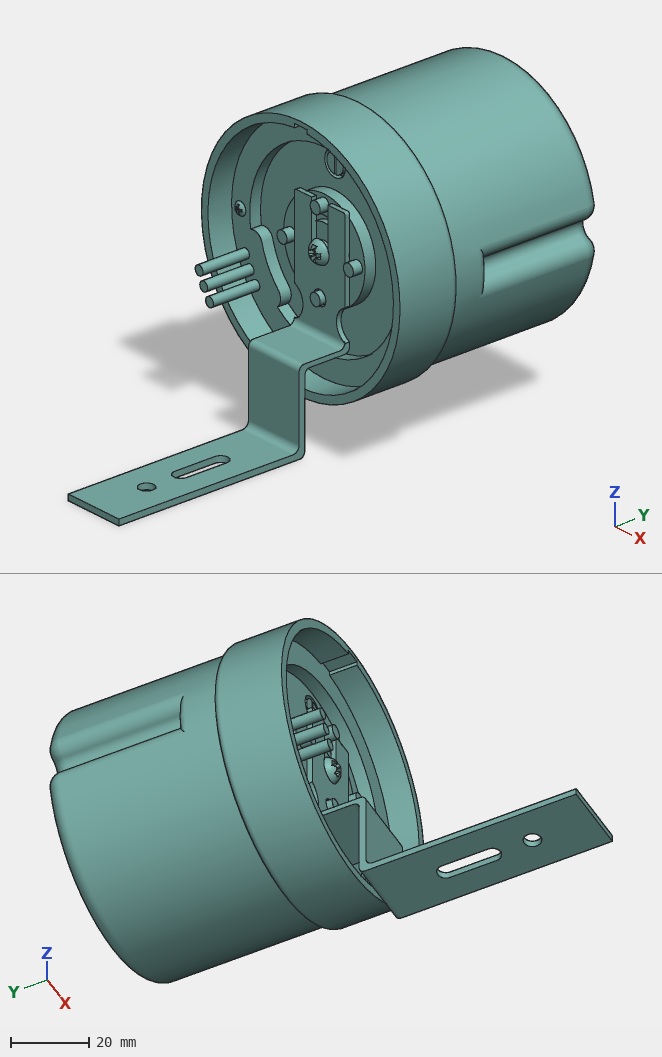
import cadquery as cq
import math

OVERALL_LENGTH = 140.0
OVERALL_HEIGHT = 89.5

HOUSING_LENGTH = 70.0
COLLAR_RADIUS = 78.0 / 2
COLLAR_LENGTH = 20.0
BODY_RADIUS = 74.0 / 2
BODY_END_FILLET = 3.9
COLLAR_FILLET = 2.0

GROOVE_CENTRE = 34.7
GROOVE_RADIUS = 2.8
GROOVE_LIP_RADIUS = 4.0
GROOVE_START = 29.1
GROOVE_END_RADIUS = 2.1

RIM_INNER_RADIUS = 36.4
LEDGE_DEPTH = 8.0
POCKET_RADIUS = 29.3
POCKET_DEPTH = 11.6
BOSS_RADIUS = 16.0
BOSS_GROOVE_OUTER = 10.0
BOSS_GROOVE_INNER = 7.8
BOSS_GROOVE_DEPTH = 2.0
KEYWAY_WIDTH = 4.8
KEYWAY_TOP = 37.5

WIRE_LAND_ANGLE = 209.8
WIRE_LAND_HALF_ANGLE = 21.2
WIRE_LAND_RADIUS = 25.3
WIRE_LAND_FILLET = 3.4
WIRE_CIRCLE_RADIUS = 33.2
WIRE_MIDDLE_ANGLE = 208.6
WIRE_STEP_ANGLE = 7.4
WIRE_RADIUS = 1.5
WIRE_LENGTH = 7.7

PIN_CIRCLE_RADIUS = 13.0
PIN_RADIUS = 2.0
PIN_TIP_DEPTH = 4.9

SLOTTED_SCREW_Z = 23.5
SLOTTED_SCREW_RADIUS = 3.2
SLOTTED_SCREW_WELL_RADIUS = 4.0
SLOTTED_SCREW_WELL_DEPTH = 2.0
SLOTTED_SCREW_SLOT_WIDTH = 0.5
SLOTTED_SCREW_SLOT_DEPTH = 1.0

LEDGE_SCREW_X = 32.9
LEDGE_SCREW_RADIUS = 2.1
LEDGE_SCREW_HEIGHT = 1.1
LEDGE_SCREW_CROSS = (3.6, 2.2, 0.7, 0.8, 0.7)
CLAMP_SCREW_RADIUS = 3.6
CLAMP_SCREW_HEIGHT = 2.7
CLAMP_SCREW_CROSS = (6.2, 3.1, 1.5, 2.5, 2.1)
CLAMP_SHANK_RADIUS = 2.8

STRIP_WIDTH = 19.9
STRIP_THICKNESS = 1.5
FOOT_THICKNESS = 2.0
PLATE_TOP = 14.4
PLATE_CORNER_RADIUS = 0.7
FLANGE_TOP = -24.0
DROP_FRONT = -9.1
FOOT_BOTTOM = COLLAR_RADIUS - OVERALL_HEIGHT
FOOT_END = HOUSING_LENGTH - OVERALL_LENGTH
BEND_RADIUS = 1.8
PLATE_BEND_RADIUS = 2.0
FOOT_BEND_RADIUS = 2.1
FORK_WIDTH = 6.3
PIN_HOLE_RADIUS = 2.4
NECK_CUT_RADIUS = 5.5
NECK_CUT_X = 12.0
NECK_CUT_Z = -17.4
FOOT_HOLE_DIAMETER = 4.8
FOOT_HOLE_Y = -52.1
FOOT_SLOT_LENGTH = 18.2
FOOT_SLOT_Y = -33.7


def rod(radius, y_start, y_end, x=0.0, z=0.0):
    """Cylinder parallel to Y."""
    length = y_end - y_start
    return cq.Workplane(cq.Solid.makeCylinder(radius, length, cq.Vector(x, y_start, z), cq.Vector(0, 1, 0)))


def block(x_size, z_size, y_start, y_end, x=0.0, z=0.0):
    """Box between two Y positions, centred on x and z."""
    middle = (x, (y_start + y_end) / 2, z)
    return cq.Workplane("XY").box(x_size, y_end - y_start, z_size).translate(middle)


def polar(radius, degrees):
    """X and Z of a point around the housing axis."""
    angle = math.radians(degrees)
    return radius * math.cos(angle), radius * math.sin(angle)


def groove_cutter():
    """Groove on the +X side: round bottom, lips that blend into the body, rounded closed end."""
    lip_circle = BODY_RADIUS - GROOVE_LIP_RADIUS
    centre_gap = GROOVE_RADIUS + GROOVE_LIP_RADIUS
    cosine = (lip_circle**2 + GROOVE_CENTRE**2 - centre_gap**2) / (2 * lip_circle * GROOVE_CENTRE)
    lip_angle = math.acos(cosine)
    lip_x = lip_circle * cosine
    lip_z = lip_circle * math.sin(lip_angle)
    meet_angle = math.atan2(-lip_z, GROOVE_CENTRE - lip_x)
    middle_angle = (lip_angle + meet_angle) / 2

    def lip_point(angle):
        return lip_x + GROOVE_LIP_RADIUS * math.cos(angle), lip_z + GROOVE_LIP_RADIUS * math.sin(angle)

    outer = lip_point(lip_angle)
    middle = lip_point(middle_angle)
    meet = lip_point(meet_angle)
    bottom = (GROOVE_CENTRE - GROOVE_RADIUS, 0)
    outside_x = COLLAR_RADIUS
    channel = (
        cq.Workplane("XZ")
        .moveTo(*outer)
        .threePointArc(middle, meet)
        .threePointArc(bottom, (meet[0], -meet[1]))
        .threePointArc((middle[0], -middle[1]), (outer[0], -outer[1]))
        .lineTo(outside_x, -outer[1])
        .lineTo(outside_x, outer[1])
        .close()
        .extrude(-HOUSING_LENGTH)
    )
    inner_radius = GROOVE_CENTRE - 2 * GROOVE_RADIUS
    arc_radius = BODY_RADIUS - GROOVE_END_RADIUS
    wall_y = GROOVE_START + GROOVE_END_RADIUS
    diagonal = GROOVE_END_RADIUS * math.sqrt(0.5)
    end_shape = (
        cq.Workplane("XY")
        .moveTo(outside_x, GROOVE_START)
        .lineTo(BODY_RADIUS, GROOVE_START)
        .threePointArc((arc_radius + diagonal, GROOVE_START + diagonal), (arc_radius, wall_y))
        .lineTo(inner_radius, wall_y)
        .lineTo(inner_radius, HOUSING_LENGTH)
        .lineTo(outside_x, HOUSING_LENGTH)
        .close()
        .revolve(360, (0, 0, 0), (0, 1, 0))
    )
    return channel.intersect(end_shape)


def housing_shell():
    collar = rod(COLLAR_RADIUS, 0, COLLAR_LENGTH).faces(">Y").edges().fillet(COLLAR_FILLET)
    body = rod(BODY_RADIUS, LEDGE_DEPTH, HOUSING_LENGTH)
    groove = groove_cutter()
    body = body.cut(groove).cut(groove.mirror("YZ"))
    body = body.faces(">Y").edges().fillet(BODY_END_FILLET)
    return collar.union(body)


def wire_land():
    """Sector of the pocket left at ledge height, with rounded inner corners."""
    first = WIRE_LAND_ANGLE - WIRE_LAND_HALF_ANGLE
    last = WIRE_LAND_ANGLE + WIRE_LAND_HALF_ANGLE
    outer_radius = (POCKET_RADIUS + RIM_INNER_RADIUS) / 2
    land = (
        cq.Workplane("XZ", origin=(0, LEDGE_DEPTH, 0))
        .moveTo(*polar(WIRE_LAND_RADIUS, first))
        .threePointArc(polar(WIRE_LAND_RADIUS, WIRE_LAND_ANGLE), polar(WIRE_LAND_RADIUS, last))
        .lineTo(*polar(outer_radius, last))
        .threePointArc(polar(outer_radius, WIRE_LAND_ANGLE), polar(outer_radius, first))
        .close()
        .extrude(LEDGE_DEPTH - POCKET_DEPTH)
    )
    for angle in (first, last):
        x, z = polar(WIRE_LAND_RADIUS, angle)
        corner = cq.NearestToPointSelector((x, (LEDGE_DEPTH + POCKET_DEPTH) / 2, z))
        land = land.edges(corner).fillet(WIRE_LAND_FILLET)
    return land


def cut_base(shell):
    """Rim opening, keyway, pocket with its boss, and the ring groove in the boss."""
    opening = rod(RIM_INNER_RADIUS, 0, LEDGE_DEPTH)
    keyway = block(KEYWAY_WIDTH, KEYWAY_TOP, 0, LEDGE_DEPTH, z=KEYWAY_TOP / 2)
    boss = rod(BOSS_RADIUS, LEDGE_DEPTH, POCKET_DEPTH)
    pocket = rod(POCKET_RADIUS, LEDGE_DEPTH, POCKET_DEPTH).cut(boss).cut(wire_land())
    groove_floor = LEDGE_DEPTH + BOSS_GROOVE_DEPTH
    ring_groove = rod(BOSS_GROOVE_OUTER, LEDGE_DEPTH, groove_floor).cut(
        rod(BOSS_GROOVE_INNER, LEDGE_DEPTH, groove_floor)
    )
    return shell.cut(opening).cut(keyway).cut(pocket).cut(ring_groove)


def cross_screw_head(radius, height, cross, seat_depth, x):
    """Domed head with a cross recess, standing towards -Y from its seat."""
    mouth_span, floor_span, arm_width, core_size, depth = cross
    top = seat_depth - height
    dome_radius = (radius**2 + height**2) / (2 * height)
    half_angle = math.asin(radius / dome_radius) / 2
    middle = (dome_radius * math.sin(half_angle), top + dome_radius * (1 - math.cos(half_angle)))
    head = (
        cq.Workplane("XY")
        .moveTo(0, seat_depth)
        .lineTo(radius, seat_depth)
        .threePointArc(middle, (0, top))
        .close()
        .revolve(360, (0, 0, 0), (0, 1, 0))
    )
    arm_outline = [
        (-mouth_span / 2, top - depth),
        (mouth_span / 2, top - depth),
        (mouth_span / 2, top),
        (floor_span / 2, top + depth),
        (-floor_span / 2, top + depth),
        (-mouth_span / 2, top),
    ]
    arm = cq.Workplane("XY").polyline(arm_outline).close().extrude(arm_width / 2, both=True)
    core = block(core_size, core_size, top - depth, top + depth)
    for cutter, turn in ((arm, 0), (arm, 90), (core, 45)):
        head = head.cut(cutter.rotate((0, 0, 0), (0, 1, 0), turn))
    return head.translate((x, 0, 0))


def add_screws(base):
    well_floor = POCKET_DEPTH + SLOTTED_SCREW_WELL_DEPTH
    slot_floor = POCKET_DEPTH + SLOTTED_SCREW_SLOT_DEPTH
    well = rod(SLOTTED_SCREW_WELL_RADIUS, POCKET_DEPTH, well_floor, z=SLOTTED_SCREW_Z)
    slotted_head = rod(SLOTTED_SCREW_RADIUS, POCKET_DEPTH, well_floor, z=SLOTTED_SCREW_Z)
    slot_length = 2 * SLOTTED_SCREW_RADIUS
    slot = block(SLOTTED_SCREW_SLOT_WIDTH, slot_length, POCKET_DEPTH, slot_floor, z=SLOTTED_SCREW_Z)
    base = base.cut(well.cut(slotted_head)).cut(slot)
    for x in (-LEDGE_SCREW_X, LEDGE_SCREW_X):
        head = cross_screw_head(LEDGE_SCREW_RADIUS, LEDGE_SCREW_HEIGHT, LEDGE_SCREW_CROSS, LEDGE_DEPTH, x)
        base = base.union(head)
    plate_front = LEDGE_DEPTH - STRIP_THICKNESS
    shank = rod(CLAMP_SHANK_RADIUS, plate_front, LEDGE_DEPTH)
    clamp_head = cross_screw_head(CLAMP_SCREW_RADIUS, CLAMP_SCREW_HEIGHT, CLAMP_SCREW_CROSS, plate_front, 0)
    return base.union(shank).union(clamp_head)


def add_pins_and_wires(base):
    for angle in (0, 90, 180, 270):
        x, z = polar(PIN_CIRCLE_RADIUS, angle)
        base = base.union(rod(PIN_RADIUS, PIN_TIP_DEPTH, LEDGE_DEPTH, x, z))
    for step in (-1, 0, 1):
        x, z = polar(WIRE_CIRCLE_RADIUS, WIRE_MIDDLE_ANGLE + step * WIRE_STEP_ANGLE)
        base = base.union(rod(WIRE_RADIUS, -WIRE_LENGTH, LEDGE_DEPTH, x, z))
    return base


def make_housing():
    base = cut_base(housing_shell())
    return add_pins_and_wires(add_screws(base))


def bent_strip():
    """Side outline of the strip with rounded bends, extruded across X."""
    plate_back = LEDGE_DEPTH
    plate_front = plate_back - STRIP_THICKNESS
    drop_back = DROP_FRONT + FOOT_THICKNESS
    flange_bottom = FLANGE_TOP - STRIP_THICKNESS
    foot_top = FOOT_BOTTOM + FOOT_THICKNESS
    outline = [
        (plate_back, PLATE_TOP),
        (plate_back, flange_bottom),
        (drop_back, flange_bottom),
        (drop_back, FOOT_BOTTOM),
        (FOOT_END, FOOT_BOTTOM),
        (FOOT_END, foot_top),
        (DROP_FRONT, foot_top),
        (DROP_FRONT, FLANGE_TOP),
        (plate_front, FLANGE_TOP),
        (plate_front, PLATE_TOP),
    ]
    strip = cq.Workplane("YZ").polyline(outline).close().extrude(STRIP_WIDTH / 2, both=True)
    bends = [
        (plate_back, flange_bottom, BEND_RADIUS),
        (drop_back, flange_bottom, BEND_RADIUS),
        (drop_back, FOOT_BOTTOM, BEND_RADIUS),
        (DROP_FRONT, foot_top, FOOT_BEND_RADIUS),
        (DROP_FRONT, FLANGE_TOP, BEND_RADIUS),
        (plate_front, FLANGE_TOP, PLATE_BEND_RADIUS),
    ]
    for y, z, radius in bends:
        strip = strip.edges(cq.NearestToPointSelector((0, y, z))).fillet(radius)
    return strip


def make_bracket():
    strip = bent_strip()
    strip = strip.faces(">Z").edges("|Y").fillet(PLATE_CORNER_RADIUS)
    plate_front = LEDGE_DEPTH - STRIP_THICKNESS
    fork = block(FORK_WIDTH, PLATE_TOP, plate_front, LEDGE_DEPTH, z=PLATE_TOP / 2)
    fork = fork.union(rod(FORK_WIDTH / 2, plate_front, LEDGE_DEPTH))
    pin_hole = rod(PIN_HOLE_RADIUS, plate_front, LEDGE_DEPTH, z=-PIN_CIRCLE_RADIUS)
    strip = strip.cut(fork).cut(pin_hole)
    for x in (-NECK_CUT_X, NECK_CUT_X):
        strip = strip.cut(rod(NECK_CUT_RADIUS, plate_front, LEDGE_DEPTH, x, NECK_CUT_Z))
    foot_hole = (
        cq.Workplane("XY", origin=(0, FOOT_HOLE_Y, FOOT_BOTTOM))
        .circle(FOOT_HOLE_DIAMETER / 2)
        .extrude(FOOT_THICKNESS)
    )
    foot_slot = (
        cq.Workplane("XY", origin=(0, FOOT_SLOT_Y, FOOT_BOTTOM))
        .slot2D(FOOT_SLOT_LENGTH, FOOT_HOLE_DIAMETER, 90)
        .extrude(FOOT_THICKNESS)
    )
    return strip.cut(foot_hole).cut(foot_slot)


housing = make_housing()
bracket = make_bracket()
result = cq.Compound.makeCompound([housing.val(), bracket.val()])